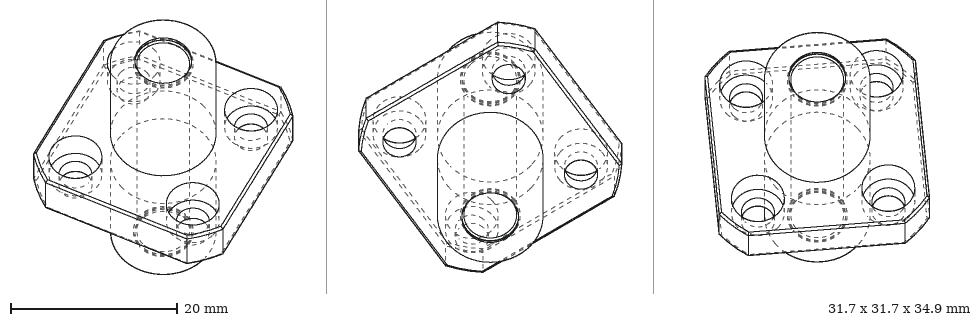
import cadquery as cq

barrel_length = 34.92
barrel_diameter = 12.7
barrel_end_round = 0.52

bore_diameter = 6.35
mouth_diameter = 6.8
mouth_depth = 0.7
groove_diameter = 7.2
groove_width = 0.25

flange_thickness = 5.6
flange_square_side = 25.42
flange_corner_diameter = 31.7
flange_edge_chamfer = 0.3
square_angle = 45.0

mounting_hole_count = 4
mounting_circle_radius = 11.15
mounting_hole_diameter = 3.98
counterbore_diameter = 6.35
counterbore_depth = 3.53

flange_bottom = (barrel_length - flange_thickness) / 2
flange_top = flange_bottom + flange_thickness


def cylinder(diameter, bottom, height):
    """Cylinder on the Z axis, starting at the given height."""
    return cq.Workplane("XY").workplane(offset=bottom).circle(diameter / 2).extrude(height)


def make_flange():
    """Square plate with rounded-off corners and chamfered rims."""
    square = (
        cq.Workplane("XY")
        .workplane(offset=flange_bottom)
        .rect(flange_square_side, flange_square_side)
        .extrude(flange_thickness)
        .rotate((0, 0, 0), (0, 0, 1), square_angle)
    )
    plate = square.intersect(cylinder(flange_corner_diameter, flange_bottom, flange_thickness))
    plate = plate.faces("<Z or >Z").chamfer(flange_edge_chamfer)
    return (
        plate.faces(">Z")
        .workplane(origin=(0, 0, flange_top))
        .polarArray(mounting_circle_radius, 0, 360, mounting_hole_count)
        .cboreHole(mounting_hole_diameter, counterbore_diameter, counterbore_depth)
    )


def make_barrel():
    """Plain cylinder with rounded outer end edges."""
    return cylinder(barrel_diameter, 0, barrel_length).edges("%CIRCLE").fillet(barrel_end_round)


def make_bore():
    """Volume removed along the axis: through bore, end mouths and undercut grooves."""
    bore = cylinder(bore_diameter, 0, barrel_length)
    mouth_bottom = barrel_length - mouth_depth
    for mouth_start, groove_start in (
        (0, mouth_depth - groove_width),
        (mouth_bottom, mouth_bottom),
    ):
        bore = bore.union(cylinder(mouth_diameter, mouth_start, mouth_depth))
        bore = bore.union(cylinder(groove_diameter, groove_start, groove_width))
    return bore


result = make_barrel().union(make_flange()).cut(make_bore())